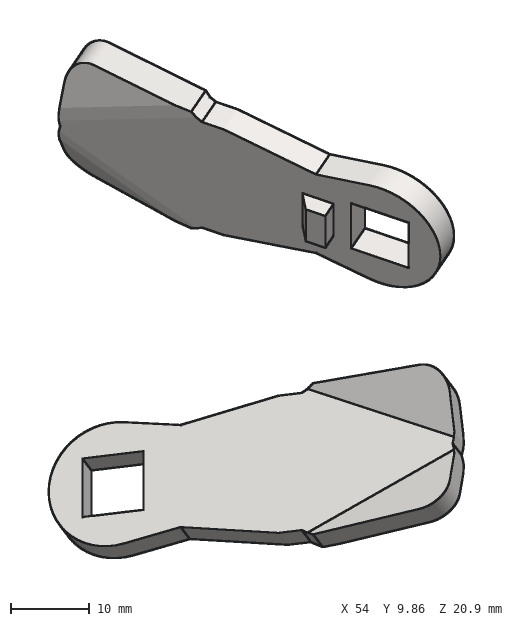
import cadquery as cq
import math

length = 53.95
thickness = 4.05
head_radius = 8.5
waist_x = 36.4
waist_half_height = 7.05
body_start_x = 20.35
body_end_x = 23.4
body_half_height = 9.5
wing_end_x = 18.7
wing_half_height = 10.45
corner_x = 3.9
corner_half_height = 10.0
corner_start_height = 6.1
notch_depth = 0.3
notch_half_height = 1.5

crease_angle = 25.0
crease_height = 0.8
bend_angle = 25.8
cutting_depth = 10.8
wing_reach = 21.55

hole_side = 8.1
peg_depth = 2.4
peg_start_x = 34.45
peg_tip_x = 36.15
peg_end_x = 38.9
peg_height = 5.7

head_x = length - head_radius
crease_length = 2 * length
crease_sin = math.sin(math.radians(crease_angle))
crease_cos = math.cos(math.radians(crease_angle))


def head_tangent_point():
    """Point where the straight edge from the waist touches the round head."""
    run = head_x - waist_x
    distance = math.hypot(run, waist_half_height)
    direction = math.atan2(waist_half_height, -run) - math.acos(head_radius / distance)
    return (head_x + head_radius * math.cos(direction), head_radius * math.sin(direction))


def outline_prism(depth):
    """Full outline of the lever, extruded backwards from Y = 0."""
    tangent_x, tangent_z = head_tangent_point()
    upper_edge = [
        (wing_end_x, wing_half_height),
        (body_start_x, body_half_height),
        (body_end_x, body_half_height),
        (waist_x, waist_half_height),
        (tangent_x, tangent_z),
    ]
    lower_edge = [(x, -z) for x, z in reversed(upper_edge[:-1])]
    corner_radius = corner_half_height - corner_start_height
    inset = corner_radius * (1 - math.sqrt(0.5))
    corner_mid = (inset, corner_half_height - inset)
    return (
        cq.Workplane("XZ")
        .moveTo(notch_depth, 0)
        .lineTo(0, notch_half_height)
        .lineTo(0, corner_start_height)
        .threePointArc(corner_mid, (corner_x, corner_half_height))
        .polyline(upper_edge, includeCurrent=True)
        .threePointArc((length, 0), (tangent_x, -tangent_z))
        .polyline(lower_edge, includeCurrent=True)
        .lineTo(corner_x, -corner_half_height)
        .threePointArc((corner_mid[0], -corner_mid[1]), (0, -corner_start_height))
        .lineTo(0, -notch_half_height)
        .close()
        .extrude(-depth)
    )


def crease_section():
    """Workplane across the upper crease: local x leads into the wing, local y is Y."""
    plane = cq.Plane(
        origin=(0, 0, crease_height),
        xDir=(-crease_sin, 0, crease_cos),
        normal=(-crease_cos, 0, -crease_sin),
    )
    return cq.Workplane(plane)


def bent_sheet():
    """Sheet bent about a sharp inner crease, with a flat facet along the outer side."""
    angle = math.radians(bend_angle)
    bend_end = (thickness * math.sin(angle), thickness * (1 - math.cos(angle)))
    rise = wing_reach * math.tan(angle)
    return (
        crease_section()
        .moveTo(0, 0)
        .lineTo(*bend_end)
        .lineTo(bend_end[0] + wing_reach, bend_end[1] + rise)
        .lineTo(wing_reach, thickness + rise)
        .lineTo(0, thickness)
        .close()
        .extrude(crease_length, both=True)
    )


def wing_zone():
    """Everything on the wing side of the upper crease."""
    return (
        crease_section()
        .rect(wing_reach, cutting_depth, centered=False)
        .extrude(crease_length, both=True)
    )


def peg():
    """Peg with a sloping side facing the wings."""
    return (
        cq.Workplane("XY")
        .polyline([(peg_start_x, 0), (peg_tip_x, -peg_depth), (peg_end_x, -peg_depth), (peg_end_x, 0)])
        .close()
        .extrude(peg_height / 2, both=True)
    )


def drive_hole():
    return cq.Workplane("XY").box(hole_side, 2 * cutting_depth, hole_side).translate((head_x, 0, 0))


upper_zone = wing_zone()
flat_plate = outline_prism(thickness).cut(upper_zone).cut(upper_zone.mirror("XY"))
upper_wing = outline_prism(cutting_depth).intersect(bent_sheet())

result = flat_plate.union(upper_wing).union(upper_wing.mirror("XY"))
result = result.union(peg()).cut(drive_hole())